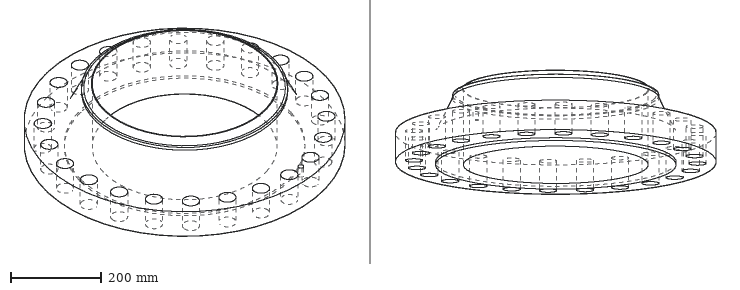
import cadquery as cq
import math

flange_diameter = 711.2
flange_thickness = 66.68
raised_face_diameter = 533.4
raised_face_height = 6.35

overall_height = 171.45
hub_base_diameter = 533.4
hub_base_fillet_radius = 3.0
pipe_diameter = 457.2
wall_thickness = 23.83
collar_bottom_below_top = 21.0

weld_land_width = 2.0
inner_bevel_wall_depth = 18.5
inner_bevel_angle = 37.5
outer_bevel_angle = 10.0

bolt_circle_diameter = 628.65
bolt_hole_count = 24
bolt_hole_diameter = 38.1
bolt_pitch_angle = 360 / bolt_hole_count
small_hole_diameter = 12.5
small_hole_depth = 25.0
small_hole_angle = bolt_pitch_angle / 2

flange_radius = flange_diameter / 2
raised_face_radius = raised_face_diameter / 2
hub_base_radius = hub_base_diameter / 2
pipe_radius = pipe_diameter / 2
bore_radius = pipe_radius - wall_thickness
weld_land_radius = bore_radius + weld_land_width
bevel_break_radius = bore_radius + inner_bevel_wall_depth
flange_bottom_z = raised_face_height
flange_top_z = flange_bottom_z + flange_thickness
collar_bottom_z = overall_height - collar_bottom_below_top


def bevel_drop(radial_run, angle_degrees):
    """Return the fall in height of a bevel over a radial run."""
    return radial_run * math.tan(math.radians(angle_degrees))


def bolt_circle_point(angle_degrees):
    """Return the XY position on the bolt circle at an angle from +X."""
    radius = bolt_circle_diameter / 2
    angle = math.radians(angle_degrees)
    return (radius * math.cos(angle), radius * math.sin(angle))


def flange_body():
    """Revolve the section of plate, hub and bore about Z and fillet the hub base."""
    bevel_break_z = overall_height - bevel_drop(bevel_break_radius - weld_land_radius, inner_bevel_angle)
    collar_top_z = bevel_break_z - bevel_drop(pipe_radius - bevel_break_radius, outer_bevel_angle)
    section = [
        (bore_radius, 0),
        (raised_face_radius, 0),
        (raised_face_radius, flange_bottom_z),
        (flange_radius, flange_bottom_z),
        (flange_radius, flange_top_z),
        (hub_base_radius, flange_top_z),
        (pipe_radius, collar_bottom_z),
        (pipe_radius, collar_top_z),
        (bevel_break_radius, bevel_break_z),
        (weld_land_radius, overall_height),
        (bore_radius, overall_height),
    ]
    body = cq.Workplane("XZ").polyline(section).close().revolve(360, (0, 0), (0, 1))
    hub_base_edge = (
        body.edges("%CIRCLE")
        .filter(lambda edge: math.isclose(edge.Center().z, flange_top_z))
        .filter(lambda edge: math.isclose(edge.radius(), hub_base_radius))
    )
    return hub_base_edge.fillet(hub_base_fillet_radius)


def bolt_holes():
    """Cylinders that cut every bolt hole through the flange."""
    centers = [bolt_circle_point(i * bolt_pitch_angle) for i in range(bolt_hole_count)]
    return (
        cq.Workplane("XY")
        .workplane(offset=flange_bottom_z)
        .pushPoints(centers)
        .circle(bolt_hole_diameter / 2)
        .extrude(flange_thickness)
    )


def small_blind_hole():
    """Cylinder that sinks the small hole into the flange's upper face."""
    return (
        cq.Workplane("XY")
        .workplane(offset=flange_top_z)
        .pushPoints([bolt_circle_point(small_hole_angle)])
        .circle(small_hole_diameter / 2)
        .extrude(-small_hole_depth)
    )


result = flange_body().cut(bolt_holes()).cut(small_blind_hole())